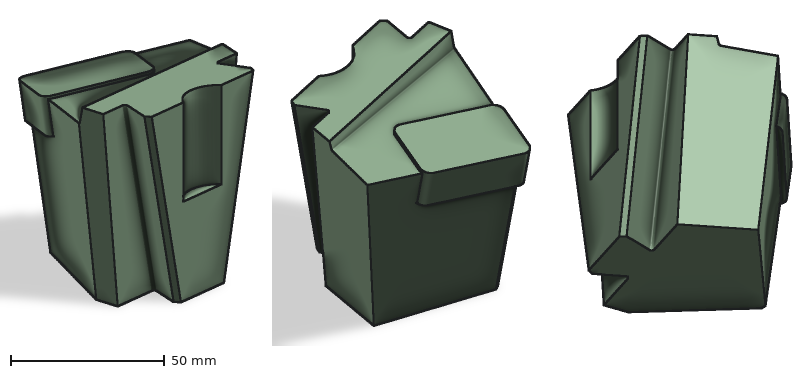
import cadquery as cq
import math

HEIGHT = 70.0
DRAFT = 6.0
BLOCK_BACK_X = -13.6
TRIM_SIZE = 232.8

STOCK_SIZE = 108.65

SIDE_Y = -26.85
FRONT_CORNER_X = -22.65
NOSE_ANGLE = 30.0
NOSE_X = -61.4
FAR_CORNER_Y = 35.1
FAR_SIDE_ANGLE = 20.0
NOSE_CHAMFER = 1.4

RAIL_HALF_WIDTH = 27.15
RAIL_FACE_HALF_WIDTH = 25.85
RAIL_TIP_X = -2.0
RAIL_ANGLE = 20.0
RAIL_WEDGE_ANGLE = 12.0
RAIL_ROOT_RADIUS = 1.0

SCOOP_RADIUS = 12.3
SCOOP_REACH = 4.8
SCOOP_DEPTH = 34.9

SEAT_CENTER = (-51.8, 3.5, 61.3)
STEP_X = -22.4
STEP_ANGLE = 15.0
STEP_RADIUS = 1.0

INSERT_WIDTH = 25.15
INSERT_LENGTH = 40.05
INSERT_THICKNESS = 14.0
INSERT_RADIUS = 3.5
INSERT_PROUD = 1.0


def tan_deg(angle):
    return math.tan(math.radians(angle))


def seat_plane():
    """Plane of the seat: it climbs at the draft angle along the front and left faces."""
    turn = math.radians(NOSE_ANGLE)
    rise = tan_deg(DRAFT)
    along_front = cq.Vector(math.cos(turn), -math.sin(turn), rise)
    along_left = cq.Vector(math.sin(turn), math.cos(turn), rise)
    return cq.Plane(SEAT_CENTER, along_front, along_front.cross(along_left))


def outside_of(start, facing):
    """Space beyond a drafted side: it passes through start at Z = 0 and faces that way in XY."""
    turn = math.radians(facing)
    lean = math.radians(DRAFT)
    outward = cq.Vector(
        math.cos(turn) * math.cos(lean), math.sin(turn) * math.cos(lean), -math.sin(lean)
    )
    along_side = cq.Vector(-math.sin(turn), math.cos(turn), 0)
    side_plane = cq.Plane((*start, 0), along_side, outward)
    return cq.Workplane(side_plane).box(
        TRIM_SIZE, TRIM_SIZE, TRIM_SIZE, centered=(True, True, False)
    )


def make_block():
    """Five-sided block with four drafted sides, an upright back and a chamfered nose edge."""
    nose_y = SIDE_Y + (FRONT_CORNER_X - NOSE_X) * tan_deg(NOSE_ANGLE)
    far_corner_x = NOSE_X + (FAR_CORNER_Y - nose_y) * tan_deg(NOSE_ANGLE)
    sides = [
        ((FRONT_CORNER_X, SIDE_Y), -90),
        ((NOSE_X, nose_y), -90 - NOSE_ANGLE),
        ((NOSE_X, nose_y), 180 - NOSE_ANGLE),
        ((far_corner_x, FAR_CORNER_Y), 90 - FAR_SIDE_ANGLE),
    ]
    block = (
        cq.Workplane("XY", origin=(BLOCK_BACK_X - STOCK_SIZE / 2, 0, 0))
        .rect(STOCK_SIZE, STOCK_SIZE)
        .extrude(HEIGHT)
    )
    for start, facing in sides:
        block = block.cut(outside_of(start, facing))
    nose_edge = cq.selectors.NearestToPointSelector((NOSE_X, nose_y, HEIGHT / 2))
    return block.edges(nose_edge).chamfer(NOSE_CHAMFER)


def rail_outline(narrowing):
    """Points of the rail's section, each flank moved inward by narrowing; the root comes first."""
    root_half_width = RAIL_HALF_WIDTH - (RAIL_TIP_X - BLOCK_BACK_X) * tan_deg(RAIL_ANGLE)
    half = [
        (BLOCK_BACK_X, root_half_width - narrowing),
        (RAIL_TIP_X, RAIL_HALF_WIDTH - narrowing),
        (0, RAIL_FACE_HALF_WIDTH - narrowing),
    ]
    mirrored = [(x, -y) for x, y in reversed(half)]
    return half + mirrored


def make_rail():
    """Dovetail rail, symmetric about Y = 0 and narrowing like a wedge toward Z = 0."""
    return (
        cq.Workplane("XY")
        .polyline(rail_outline(HEIGHT * tan_deg(RAIL_WEDGE_ANGLE)))
        .close()
        .workplane(offset=HEIGHT)
        .polyline(rail_outline(0))
        .close()
        .loft(ruled=True)
    )


def make_scoop():
    """Blind cylinder that bites into the rear face from the top."""
    return (
        cq.Workplane("XY", origin=(SCOOP_RADIUS - SCOOP_REACH, 0, HEIGHT - SCOOP_DEPTH))
        .circle(SCOOP_RADIUS)
        .extrude(SCOOP_DEPTH)
    )


def make_seat_cutter():
    """Everything above the seat and in front of the leaning step, with a rounded root."""
    above_seat = cq.Workplane(seat_plane()).box(
        TRIM_SIZE, TRIM_SIZE, HEIGHT, centered=(True, True, False)
    )
    lean = HEIGHT * tan_deg(STEP_ANGLE)
    before_step = (
        cq.Workplane("XZ")
        .moveTo(STEP_X - lean, 0)
        .lineTo(STEP_X + lean, 2 * HEIGHT)
        .lineTo(-TRIM_SIZE / 2, 2 * HEIGHT)
        .lineTo(-TRIM_SIZE / 2, 0)
        .close()
        .extrude(TRIM_SIZE / 4, both=True)
    )
    cutter = above_seat.intersect(before_step)
    root = cq.selectors.NearestToPointSelector((STEP_X, 0, SEAT_CENTER[2]))
    return cutter.edges(root).fillet(STEP_RADIUS)


def make_insert():
    """Round-cornered rectangular plate, parallel to the seat and standing proud of it."""
    return (
        cq.Workplane(seat_plane())
        .workplane(offset=INSERT_PROUD - INSERT_THICKNESS)
        .rect(INSERT_WIDTH, INSERT_LENGTH)
        .extrude(INSERT_THICKNESS)
        .edges(cq.selectors.ParallelDirSelector(seat_plane().zDir))
        .fillet(INSERT_RADIUS)
    )


def make_holder(insert):
    """Block and rail in one piece, with the step, the scoop and the insert pocket cut out."""
    holder = make_block().union(make_rail())
    root_x, root_y = rail_outline(HEIGHT / 2 * tan_deg(RAIL_WEDGE_ANGLE))[0]
    for side in (-1, 1):
        root = cq.selectors.NearestToPointSelector((root_x, side * root_y, HEIGHT / 2))
        holder = holder.edges(root).fillet(RAIL_ROOT_RADIUS)
    return holder.cut(make_scoop()).cut(make_seat_cutter()).cut(insert)


insert = make_insert()
holder = make_holder(insert)
result = cq.Compound.makeCompound([holder.val(), insert.val()])